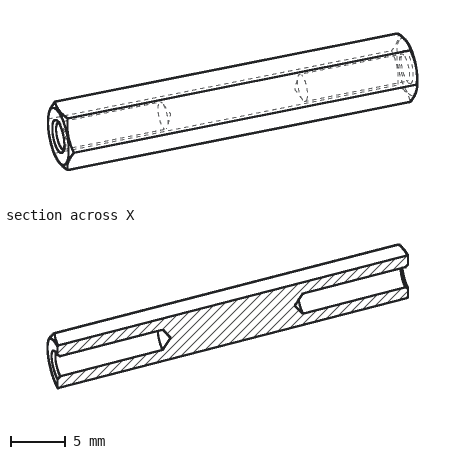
import cadquery as cq
import math

length = 34.0
across_flats = 5.5
across_corners = across_flats / math.cos(math.pi / 6)

end_face_diameter = 5.3
corner_chamfer_angle = math.radians(30)

hole_diameter = 2.5
hole_depth = 10.2
drill_point_angle = math.radians(118)
mouth_diameter = 3.05
mouth_chamfer_angle = math.radians(45)


def revolve_about_y(profile_points):
    """Turn a closed (radius, y) profile around the Y axis."""
    return cq.Workplane("XY").polyline(profile_points).close().revolve(360, (0, 0, 0), (0, 1, 0))


def hexagonal_bar():
    """Hexagon with corners on +X and -X and flats on +Z and -Z."""
    return cq.Workplane("XZ").polygon(6, across_corners).extrude(length / 2, both=True)


def chamfered_envelope():
    """Round blank, as wide as the hexagon corners, with conical ends."""
    corner_radius = across_corners / 2
    face_radius = end_face_diameter / 2
    chamfer_length = (corner_radius - face_radius) * math.tan(corner_chamfer_angle)
    half_length = length / 2
    shoulder = half_length - chamfer_length
    return revolve_about_y([
        (0, -half_length),
        (face_radius, -half_length),
        (corner_radius, -shoulder),
        (corner_radius, shoulder),
        (face_radius, half_length),
        (0, half_length),
    ])


def blind_hole():
    """Drilled hole in the -Y end, with a chamfered mouth and a conical bottom."""
    hole_radius = hole_diameter / 2
    mouth_radius = mouth_diameter / 2
    mouth_depth = (mouth_radius - hole_radius) / math.tan(mouth_chamfer_angle)
    point_depth = hole_radius / math.tan(drill_point_angle / 2)
    end = -length / 2
    return revolve_about_y([
        (0, end),
        (mouth_radius, end),
        (hole_radius, end + mouth_depth),
        (hole_radius, end + hole_depth),
        (0, end + hole_depth + point_depth),
    ])


near_hole = blind_hole()
far_hole = near_hole.mirror("XZ")
result = hexagonal_bar().intersect(chamfered_envelope()).cut(near_hole).cut(far_hole)